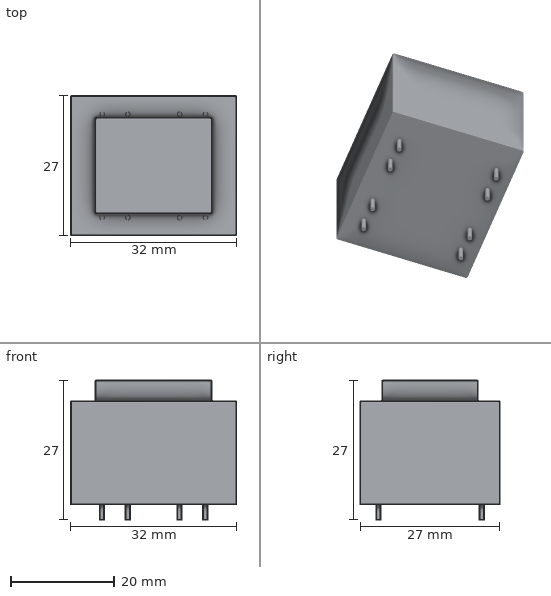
import cadquery as cq

body_length = 32.0
body_width = 27.0
body_height = 20.0
edge_radius = 0.3

lid_length = 22.5
lid_width = 18.5
lid_height = 4.0
foot_radius = 0.1

pin_diameter = 0.9
pin_length = 3.0
row_spacing = 20.0
pin_pitch = row_spacing / 4
pin_steps = (-2, -1, 1, 2)


def rounded_block(length, width, height, base_z):
    """Block centred on Z with rounded upright and top edges and a sharp underside."""
    block = cq.Workplane("XY").workplane(offset=base_z).box(
        length, width, height, centered=(True, True, False)
    )
    return block.edges("|Z or >Z").fillet(edge_radius)


body = rounded_block(body_length, body_width, body_height, 0)
lid = rounded_block(lid_length, lid_width, lid_height, body_height)
housing = body.union(lid)

foot_reach_x = lid_length / 2 + foot_radius
foot_reach_y = lid_width / 2 + foot_radius
foot_zone = cq.selectors.BoxSelector(
    (-foot_reach_x, -foot_reach_y, body_height - foot_radius),
    (foot_reach_x, foot_reach_y, body_height + foot_radius),
)
housing = housing.edges(foot_zone).fillet(foot_radius)

pin_positions = [
    (step * pin_pitch, side * row_spacing / 2)
    for step in pin_steps
    for side in (-1, 1)
]
pins = (
    cq.Workplane("XY")
    .pushPoints(pin_positions)
    .circle(pin_diameter / 2)
    .extrude(-pin_length)
)

result = housing.union(pins)